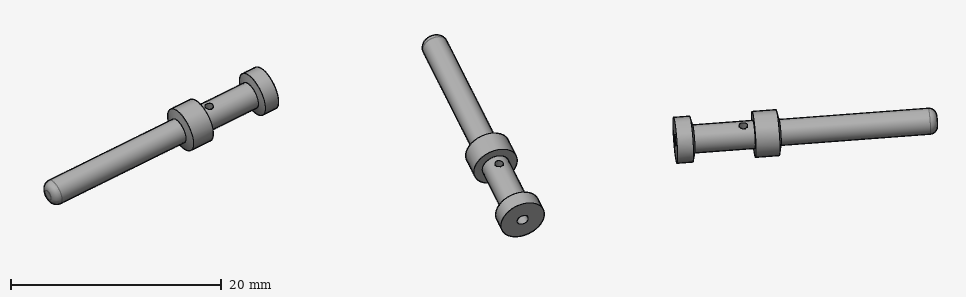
import cadquery as cq

total_length = 25.0
flange_diameter = 4.4
pin_diameter = 2.5
barrel_diameter = 2.7
tip_radius = 0.75

taper_length = 0.22
collar_length = 2.5
head_length = 1.75
collar_back = 17.5

bore_diameter = 1.12
bore_bottom = collar_back

hole_diameter = 0.8
hole_y = 18.5


def rod(diameter, start, end):
    """Cylinder along +Y between two stations."""
    plane = cq.Workplane("XZ", origin=(0, start, 0))
    return plane.circle(diameter / 2).extrude(start - end)


def flange(back, length, shaft_diameter):
    """Disc ending at the back station, with its front coned down to the shaft."""
    front = back - length
    profile = [
        (0, front),
        (shaft_diameter / 2, front),
        (flange_diameter / 2, front + taper_length),
        (flange_diameter / 2, back),
        (0, back),
    ]
    return cq.Workplane("XY").polyline(profile).close().revolve(360, (0, 0), (0, 1))


pin = rod(pin_diameter, 0, collar_back).faces("<Y").edges().fillet(tip_radius)
barrel = rod(barrel_diameter, collar_back, total_length)
collar = flange(collar_back, collar_length, pin_diameter)
head = flange(total_length, head_length, barrel_diameter)
bore = rod(bore_diameter, bore_bottom, total_length)

hole = (
    cq.Workplane("XY", origin=(0, hole_y, 0))
    .circle(hole_diameter / 2)
    .extrude(barrel_diameter / 2)
)

result = pin.union(collar).union(barrel).union(head).cut(bore).cut(hole)